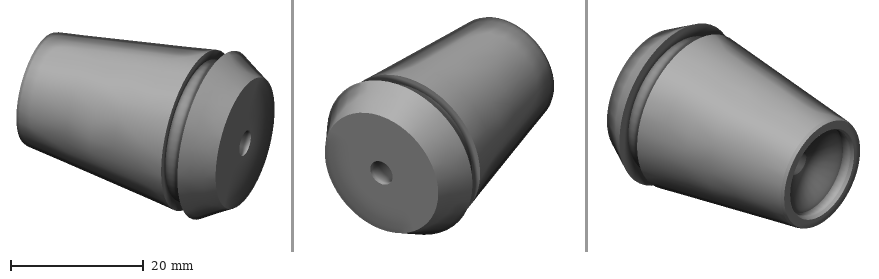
import cadquery as cq
import math

length = 34.0
flange_diameter = 26.2
flange_radius = flange_diameter / 2
groove_radius = 11.05
large_radius = 12.5
through_radius = 2.0

taper_end = 26.0
flange_start = 29.0
taper_angle = math.radians(8)
flange_angle = math.radians(30)

nose_chamfer_length = 0.5
nose_chamfer_drop = 0.2

mouth_radius = 7.35
mouth_chamfer_length = 0.5
counterbore_depth = 2.0
counterbore_radius = 7.07
cone_depth = 2.9

small_radius = large_radius - (taper_end - nose_chamfer_length) * math.tan(taper_angle)
back_radius = flange_radius - (length - flange_start) * math.tan(flange_angle)


def revolve_about_x(points):
    """Turn a closed (x, radius) outline into a solid around the X axis."""
    return cq.Workplane("XY").polyline(points).close().revolve(360, (0, 0, 0), (1, 0, 0))


body = revolve_about_x([
    (0, 0),
    (0, small_radius - nose_chamfer_drop),
    (nose_chamfer_length, small_radius),
    (taper_end, large_radius),
    (taper_end, groove_radius),
    (flange_start, groove_radius),
    (flange_start, flange_radius),
    (length, back_radius),
    (length, 0),
])

bore = revolve_about_x([
    (0, 0),
    (0, mouth_radius),
    (mouth_chamfer_length, counterbore_radius),
    (counterbore_depth, counterbore_radius),
    (counterbore_depth + cone_depth, through_radius),
    (length, through_radius),
    (length, 0),
])

result = body.cut(bore)